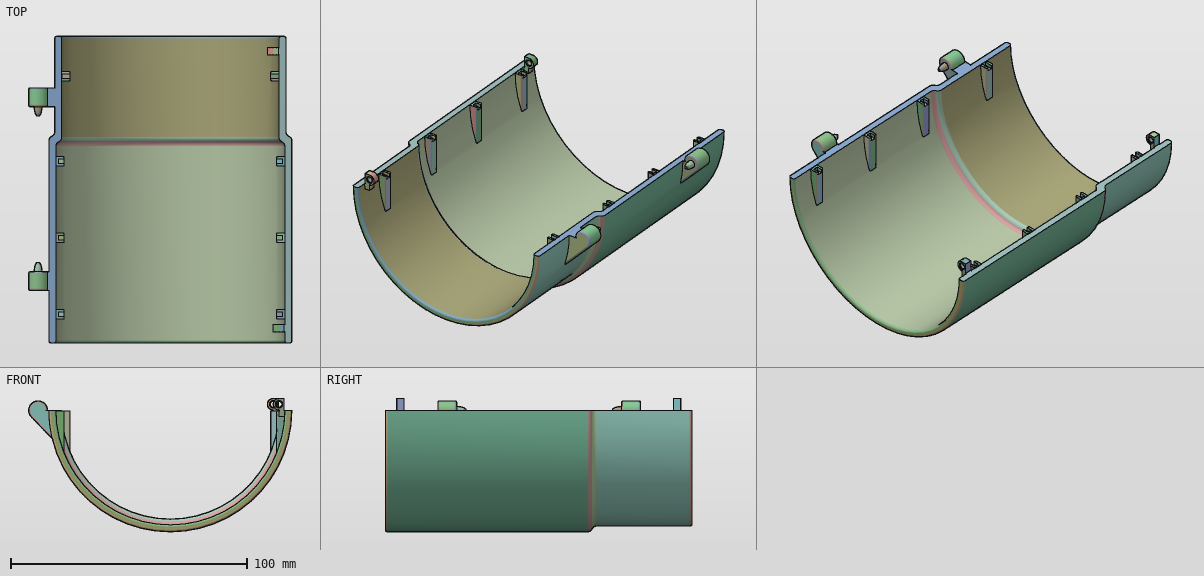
import cadquery as cq
import math

LENGTH = 130.0
WALL = 3.0
WIDE_RADIUS = 51.5
RADIUS_STEP = 2.5
NARROW_RADIUS = WIDE_RADIUS - RADIUS_STEP
WIDE_BORE = WIDE_RADIUS - WALL
NARROW_BORE = NARROW_RADIUS - WALL
STEP_LENGTH = 3.9
OUTER_STEP_START = 85.7
INNER_STEP_START = 83.3
END_ROUND = 1.0

WIDE_RIB_PLACES = (12.2, 44.6, 77.0)
NARROW_RIB_PLACE = 113.1
RIB_WIDTH = 4.0
RIB_THICKNESS = 3.5
RIB_DEPTH = 26.0
RIB_DROP = 0.2
RIB_EDGE_ROUND = 0.5
SLOT_WIDTH = 2.0
SLOT_DEPTH = 1.7
WIDE_SLOT_LENGTH = 2.5
NARROW_SLOT_LENGTH = RIB_THICKNESS

EAR_RADIUS = 4.0
EAR_REACH = 60.0
EAR_X = EAR_RADIUS - EAR_REACH
EAR_INNER_X = -39.0
EAR_WIDTH = 8.0
EAR_PLACES = (26.3, 104.1)
EAR_SLOPE = math.radians(46)
EAR_ROUND = 0.8
PIN_DIAMETER = 3.4
PIN_TIP_DIAMETER = 2.5
PIN_LENGTH = 3.9
PIN_BODY_LENGTH = 2.9
PIN_END_DIAMETER = 1.2

EYE_RADIUS = 2.5
EYE_HEIGHT = 5.1
EYE_Z = EYE_HEIGHT - EYE_RADIUS
EYE_HOLE_DIAMETER = 2.5
EYE_MOUTH_DIAMETER = 3.1
EYE_SETBACK = 0.3
EYE_WIDTH = 3.1
EYE_ROOT_DEPTH = 2.6
EYE_END_DISTANCE = 6.4

OVERLAP = WALL / 2


def half_round(wide_radius, step_start):
    """Solid lower half-round body, wide in front and narrow behind, with an S-shaped step."""
    narrow_radius = wide_radius - RADIUS_STEP
    step_middle = (wide_radius - RADIUS_STEP / 2, step_start + STEP_LENGTH / 2)
    step_end = (narrow_radius, step_start + STEP_LENGTH)
    return (
        cq.Workplane("XY")
        .lineTo(wide_radius, 0)
        .lineTo(wide_radius, step_start)
        .tangentArcPoint(step_middle, relative=False)
        .tangentArcPoint(step_end, relative=False)
        .lineTo(narrow_radius, LENGTH)
        .lineTo(0, LENGTH)
        .close()
        .revolve(180, (0, 0, 0), (0, 1, 0))
    )


def make_shell():
    outer = half_round(WIDE_RADIUS, OUTER_STEP_START)
    bore = half_round(WIDE_BORE, INNER_STEP_START)
    return outer.cut(bore).faces("<Y or >Y").edges("%CIRCLE").fillet(END_ROUND)


def make_rib(side, bore_radius, y, slot_length):
    """Rib on the wall at the given side (-1 or +1), trimmed halfway through the wall."""
    face_x = bore_radius - RIB_THICKNESS
    rib = (
        cq.Workplane("XY")
        .box(RIB_THICKNESS + OVERLAP, RIB_WIDTH, RIB_DEPTH, centered=(False, True, False))
        .edges("|Z and <X")
        .fillet(RIB_EDGE_ROUND)
        .translate((face_x, y, -RIB_DROP - RIB_DEPTH))
    )
    wall_middle = cq.Workplane("XZ").circle(bore_radius + OVERLAP).extrude(-LENGTH)
    slot = cq.Workplane("XY").box(
        slot_length, SLOT_WIDTH, SLOT_DEPTH, centered=(False, True, False)
    ).translate((face_x, y, -RIB_DROP - SLOT_DEPTH))
    rib = rib.intersect(wall_middle).cut(slot)
    return rib if side > 0 else rib.mirror("YZ")


def make_ear(y, wall_radius, pin_direction):
    """Hinge ear with a sloped underside; pin_direction is the sense of its pin along Y."""
    tangent_x = EAR_X - EAR_RADIUS * math.sin(EAR_SLOPE)
    tangent_z = -EAR_RADIUS * math.cos(EAR_SLOPE)
    slope_end_z = tangent_z - (EAR_INNER_X - tangent_x) * math.tan(EAR_SLOPE)
    ear = (
        cq.Workplane("XZ", origin=(0, y + EAR_WIDTH / 2, 0))
        .moveTo(EAR_X + EAR_RADIUS, 0)
        .threePointArc((EAR_X, EAR_RADIUS), (EAR_X - EAR_RADIUS, 0))
        .tangentArcPoint((tangent_x, tangent_z), relative=False)
        .lineTo(EAR_INNER_X, slope_end_z)
        .lineTo(EAR_INNER_X, 0)
        .close()
        .extrude(EAR_WIDTH)
    )
    ear = ear.faces("<Y or >Y").edges("not (|X or |Z)").fillet(EAR_ROUND)
    wall_cylinder = cq.Workplane("XZ").circle(wall_radius - OVERLAP).extrude(-LENGTH)
    pin = make_pin()
    if pin_direction < 0:
        pin = pin.mirror("XZ")
    pin_root = y + pin_direction * EAR_WIDTH / 2
    return ear.cut(wall_cylinder).union(pin.translate((EAR_X, pin_root, 0)))


def make_pin():
    """Pin that curves in towards a bevelled tip, pointing along +Y from the origin."""
    return (
        cq.Workplane("XY")
        .moveTo(0, -OVERLAP)
        .lineTo(PIN_DIAMETER / 2, -OVERLAP)
        .lineTo(PIN_DIAMETER / 2, 0)
        .tangentArcPoint((PIN_TIP_DIAMETER / 2, PIN_BODY_LENGTH), relative=False)
        .lineTo(PIN_END_DIAMETER / 2, PIN_LENGTH)
        .lineTo(0, PIN_LENGTH)
        .close()
        .revolve(360, (0, 0, 0), (0, 1, 0))
    )


def make_eye(y, bore_radius):
    """Latch eye standing on a flat root that joins the inside of the wall."""
    eye_x = bore_radius - EYE_RADIUS
    back_x = bore_radius - EYE_SETBACK
    eye = (
        cq.Workplane("XZ", origin=(0, y + EYE_WIDTH / 2, 0))
        .moveTo(eye_x, EYE_Z - EYE_RADIUS)
        .threePointArc((eye_x - EYE_RADIUS, EYE_Z), (eye_x, EYE_HEIGHT))
        .lineTo(back_x, EYE_HEIGHT)
        .lineTo(back_x, 0)
        .lineTo(bore_radius + OVERLAP, 0)
        .lineTo(bore_radius + OVERLAP, -EYE_ROOT_DEPTH)
        .lineTo(eye_x, -EYE_ROOT_DEPTH)
        .close()
        .extrude(EYE_WIDTH)
    )
    hole = (
        cq.Workplane("XZ", origin=(eye_x, y + EYE_WIDTH / 2, EYE_Z))
        .circle(EYE_HOLE_DIAMETER / 2)
        .extrude(EYE_WIDTH)
    )
    eye = eye.cut(hole)
    hole_edges = eye.faces("<Y or >Y").edges(cq.selectors.RadiusNthSelector(0))
    return hole_edges.chamfer((EYE_MOUTH_DIAMETER - EYE_HOLE_DIAMETER) / 2)


result = make_shell()

for side in (-1, 1):
    for rib_y in WIDE_RIB_PLACES:
        result = result.union(make_rib(side, WIDE_BORE, rib_y, WIDE_SLOT_LENGTH))
    result = result.union(make_rib(side, NARROW_BORE, NARROW_RIB_PLACE, NARROW_SLOT_LENGTH))

front_ear_y, back_ear_y = EAR_PLACES
result = result.union(make_ear(front_ear_y, WIDE_RADIUS, 1))
result = result.union(make_ear(back_ear_y, NARROW_RADIUS, -1))

result = result.union(make_eye(EYE_END_DISTANCE, WIDE_BORE))
result = result.union(make_eye(LENGTH - EYE_END_DISTANCE, NARROW_BORE))